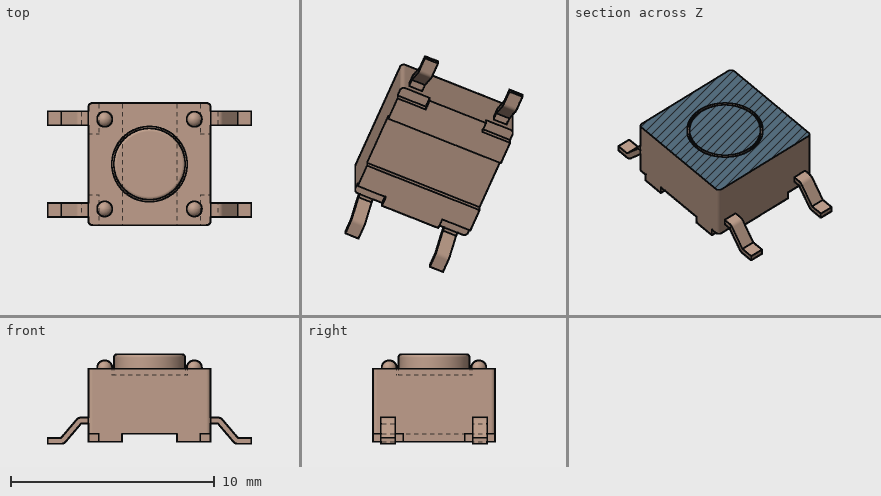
import cadquery as cq
import math

overall_length = 10.0
body_width = 6.0
standoff = 0.1
body_floor = 0.5
lid_bottom = 3.4
lid_top = 3.7
button_top = 4.4
corner_radius = 0.2

button_diameter = 3.5
button_edge_radius = 0.15
lid_hole_diameter = 3.7

rivet_diameter = 0.75
rivet_height = 0.4
rivet_edge_radius = 0.36
rivet_spacing = 4.4

foot_gap = 2.68
foot_outer_width = 5.0
side_foot_length = 3.0

lead_width = 0.7
lead_spacing = 4.5
lead_thickness = 0.3
lead_top = 1.3
lead_upper_bend_x = 3.35
lead_lower_bend_x = 4.34
lead_embed = 0.2


def make_feet():
    """Cross-shaped pad with notched corners, split by a channel along Y."""
    height = body_floor - standoff
    base = cq.Workplane("XY").workplane(offset=standoff)
    pad = base.rect(foot_outer_width, body_width).extrude(height)
    side_pad = base.rect(body_width, side_foot_length).extrude(height)
    channel = base.rect(foot_gap, body_width).extrude(height)
    return pad.union(side_pad).cut(channel)


def make_body():
    """Rounded square housing on its feet, with the lid on top of it."""
    housing = (
        cq.Workplane("XY")
        .workplane(offset=body_floor)
        .rect(body_width, body_width)
        .extrude(lid_bottom - body_floor)
        .edges("|Z")
        .fillet(corner_radius)
    )
    lid = (
        cq.Workplane("XY")
        .workplane(offset=lid_bottom)
        .rect(body_width, body_width)
        .extrude(lid_top - lid_bottom)
        .edges("|Z")
        .fillet(corner_radius)
        .faces(">Z")
        .workplane()
        .hole(lid_hole_diameter)
    )
    return housing.union(make_feet()).union(lid, clean=False)


def make_button():
    """Round button rising from the housing through the lid hole."""
    return (
        cq.Workplane("XY")
        .workplane(offset=lid_bottom)
        .circle(button_diameter / 2)
        .extrude(button_top - lid_bottom)
        .faces(">Z")
        .edges()
        .fillet(button_edge_radius)
    )


def make_rivets():
    """Four domed heads, rounded almost to a full dome."""
    head = (
        cq.Workplane("XY")
        .workplane(offset=lid_top)
        .circle(rivet_diameter / 2)
        .extrude(rivet_height)
        .faces(">Z")
        .edges()
        .fillet(rivet_edge_radius)
    )
    offset = rivet_spacing / 2
    return [head.translate((sx * offset, sy * offset, 0)) for sx in (-1, 1) for sy in (-1, 1)]


def make_lead():
    """One bent lead on the +X side, centred on Y = 0."""
    root_x = body_width / 2 - lead_embed
    tip_x = overall_length / 2
    upper_bend = (lead_upper_bend_x, lead_top - lead_thickness)
    lower_bend = (lead_lower_bend_x, lead_thickness)

    run = lower_bend[0] - upper_bend[0]
    drop = upper_bend[1] - lower_bend[1]
    bend_angle = math.atan2(drop, run) + math.asin(lead_thickness / math.hypot(run, drop))

    def on_upper(angle):
        return (
            upper_bend[0] + lead_thickness * math.sin(angle),
            upper_bend[1] + lead_thickness * math.cos(angle),
        )

    def on_lower(angle):
        return (
            lower_bend[0] - lead_thickness * math.sin(angle),
            lower_bend[1] - lead_thickness * math.cos(angle),
        )

    return (
        cq.Workplane("XZ")
        .moveTo(root_x, lead_top)
        .lineTo(*on_upper(0))
        .threePointArc(on_upper(bend_angle / 2), on_upper(bend_angle))
        .lineTo(*lower_bend)
        .lineTo(tip_x, lead_thickness)
        .lineTo(tip_x, 0)
        .lineTo(*on_lower(0))
        .threePointArc(on_lower(bend_angle / 2), on_lower(bend_angle))
        .lineTo(*upper_bend)
        .lineTo(root_x, upper_bend[1])
        .close()
        .extrude(lead_width / 2, both=True)
    )


result = make_body().union(make_button(), clean=False)
for rivet in make_rivets():
    result = result.union(rivet, clean=False)

lead_blank = make_lead()
for turn in (0, 180):
    for side in (-1, 1):
        lead = lead_blank.translate((0, side * lead_spacing / 2, 0))
        lead = lead.rotate((0, 0, 0), (0, 0, 1), turn)
        result = result.union(lead, clean=False)